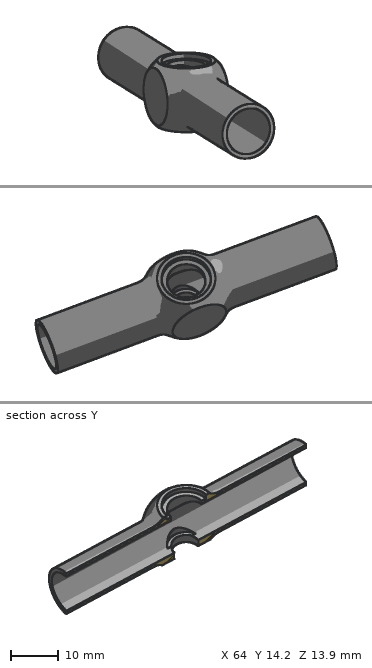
import cadquery as cq
import math

tube_length = 64.0
tube_outer_diameter = 12.0
tube_bore_diameter = 10.0

ball_radius = 9.4
blend_radius = 3.4
side_flat_distance = 7.1
top_flat_distance = 7.1
bottom_flat_distance = 6.84

seat_diameter = 10.4
seat_depth = 1.1
port_diameter = 8.1
port_floor_height = -4.72
outlet_diameter = 6.35


def make_outer_body():
    """Tube and ball revolved about X, joined by a tangent blend on each side."""
    tube_radius = tube_outer_diameter / 2
    half_length = tube_length / 2

    center_distance = ball_radius + blend_radius
    center_r = tube_radius + blend_radius
    center_x = math.sqrt(center_distance**2 - center_r**2)
    touch_x = center_x * ball_radius / center_distance
    touch_r = center_r * ball_radius / center_distance

    ball_direction = math.atan2(-center_r, -center_x)
    tube_direction = -math.pi / 2
    middle_direction = (ball_direction + tube_direction) / 2
    middle_x = center_x + blend_radius * math.cos(middle_direction)
    middle_r = center_r + blend_radius * math.sin(middle_direction)

    profile = (
        cq.Workplane("XY")
        .moveTo(-half_length, 0)
        .lineTo(-half_length, tube_radius)
        .lineTo(-center_x, tube_radius)
        .threePointArc((-middle_x, middle_r), (-touch_x, touch_r))
        .threePointArc((0, ball_radius), (touch_x, touch_r))
        .threePointArc((middle_x, middle_r), (center_x, tube_radius))
        .lineTo(half_length, tube_radius)
        .lineTo(half_length, 0)
        .close()
    )
    return profile.revolve(360, (0, 0, 0), (1, 0, 0))


def trim_flats(body):
    """Cut the hub down to its two side flats and its top and bottom flats."""
    envelope = cq.Workplane("XY").box(
        tube_length,
        2 * side_flat_distance,
        top_flat_distance + bottom_flat_distance,
    )
    middle_height = (top_flat_distance - bottom_flat_distance) / 2
    return body.intersect(envelope.translate((0, 0, middle_height)))


def make_tube_bore():
    """Bore running the whole length of the tube."""
    return cq.Workplane("YZ").circle(tube_bore_diameter / 2).extrude(tube_length / 2, both=True)


def make_vertical_hole(diameter, floor_height):
    """Round hole from the top flat down to the given height."""
    depth = top_flat_distance - floor_height
    return cq.Workplane("XY").workplane(offset=floor_height).circle(diameter / 2).extrude(depth)


result = (
    trim_flats(make_outer_body())
    .cut(make_tube_bore())
    .cut(make_vertical_hole(seat_diameter, top_flat_distance - seat_depth))
    .cut(make_vertical_hole(port_diameter, port_floor_height))
    .cut(make_vertical_hole(outlet_diameter, -bottom_flat_distance))
)